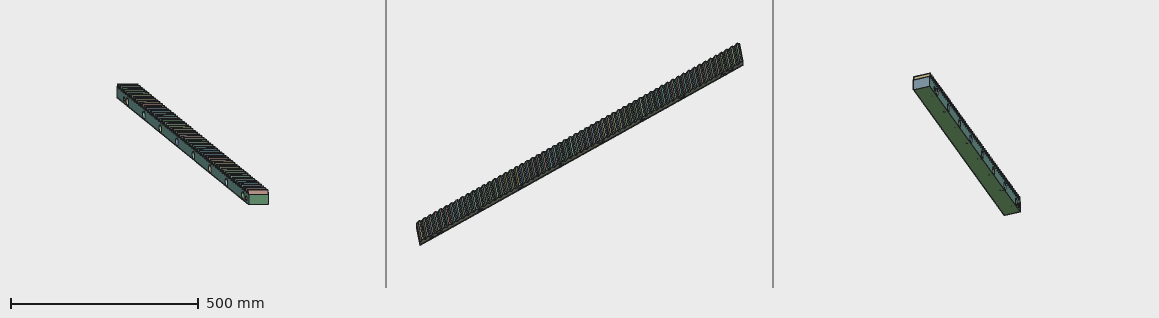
import cadquery as cq
import math


overall_length = 1016.87
face_width = 50.0
overall_height = 39.7
back_chamfer = 2.0

normal_module = 5.0
normal_pressure_angle = math.radians(20)
helix_angle = math.radians(19.5283)
tooth_count = 60
addendum = normal_module
dedendum = 1.25 * normal_module

slant = face_width * math.tan(helix_angle)
face_length = overall_length - slant
pitch = math.pi * normal_module / math.cos(helix_angle)
flank_slope = math.tan(normal_pressure_angle) / math.cos(helix_angle)
pitch_line_z = overall_height - addendum
root_z = pitch_line_z - dedendum
half_tip = pitch / 4 - addendum * flank_slope
half_foot = pitch / 4 + dedendum * flank_slope

hole_z = 12.0
hole_middle_x = slant + face_length / 2
bolt_count = 8
bolt_spacing = 125.0
bolt_diameter = 14.0
counterbore_diameter = 20.0
counterbore_depth = 13.0
pin_to_bolt = 25.0
pin_diameter = 11.7


def tooth_points(middle_x):
    """Foot, tip, tip and foot of one straight-sided tooth."""
    return [
        (middle_x - half_foot, root_z),
        (middle_x - half_tip, overall_height),
        (middle_x + half_tip, overall_height),
        (middle_x + half_foot, root_z),
    ]


def rack_body():
    """Toothed outline of the front face, swept obliquely along the helix direction."""
    first_tooth_x = face_length / 2 - (tooth_count - 1) / 2 * pitch
    outline = [(0, 0), (0, root_z)]
    for index in range(tooth_count):
        outline += tooth_points(first_tooth_x + index * pitch)
    outline += [(face_length, root_z), (face_length, 0)]
    corners = [cq.Vector(x, 0, z) for x, z in outline]
    front_wire = cq.Wire.makePolygon(corners, close=True)
    sweep = cq.Vector(slant, face_width, 0)
    body = cq.Workplane(obj=cq.Solid.extrudeLinear(front_wire, [], sweep))
    return body.faces(">Y").edges("<Z").chamfer(back_chamfer)


def cross_holes(x_positions, diameter, depth):
    """Cylinders entering the front face along +Y."""
    return (
        cq.Workplane("XZ")
        .pushPoints([(x, hole_z) for x in x_positions])
        .circle(diameter / 2)
        .extrude(-depth)
    )


bolt_half_span = (bolt_count - 1) / 2 * bolt_spacing
pin_half_span = bolt_half_span + pin_to_bolt
bolt_xs = [hole_middle_x - bolt_half_span + index * bolt_spacing for index in range(bolt_count)]
pin_xs = [hole_middle_x - pin_half_span, hole_middle_x + pin_half_span]

result = (
    rack_body()
    .cut(cross_holes(bolt_xs, bolt_diameter, face_width))
    .cut(cross_holes(bolt_xs, counterbore_diameter, counterbore_depth))
    .cut(cross_holes(pin_xs, pin_diameter, face_width))
)